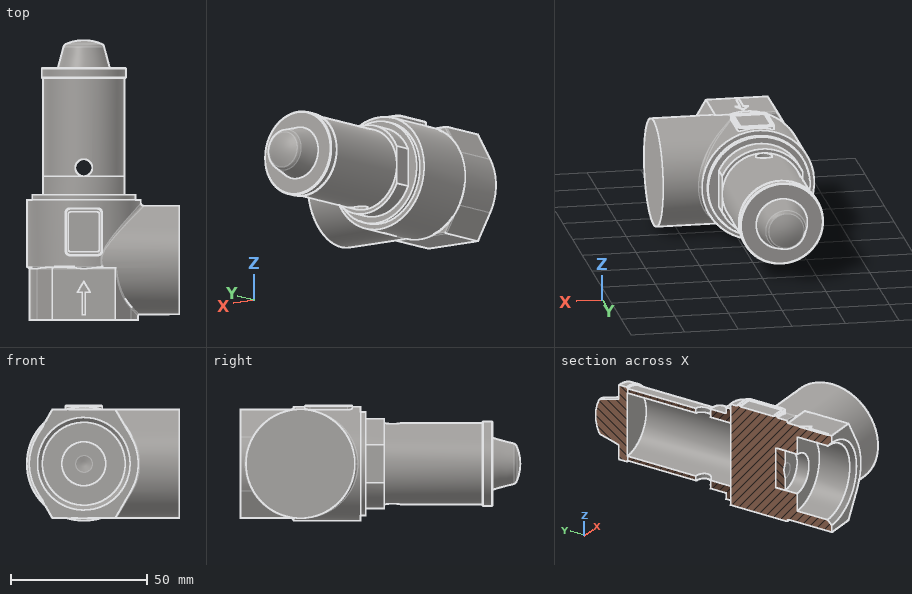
import cadquery as cq
import math


flat_half = 19.99
body_radius = 21.0
body_end = 44.1
neck_start = 18.8
neck_arc = (body_radius - flat_half) / 2
body_start = neck_start + 2 * neck_arc
outlet_radius = flat_half
outlet_height = 22.0
outlet_end = 35.1
body_outlet_fillet = 1.0
hex_outlet_fillet = 0.4

thread_radius = 15.2
thread_depth = 15.0
thread_chamfer = 1.8
seat_radius = 8.07
seat_depth = 5.1

plate_width = 13.6
plate_length = 17.5
plate_corner = 1.9
plate_top = 21.5
plate_center = 32.4
plate_chamfer = 0.3
plate_side_border = 1.0
plate_end_border = 1.4
plate_recess = 0.4

arrow_tail = 2.0
arrow_head = 10.2
arrow_tip = 14.2
arrow_shaft_half = 0.6
arrow_head_half = 2.4
arrow_depth = 0.2

disc_thickness = 4.1
disc_dimple_radius = 3.1
disc_dimple_depth = 0.6

flange_radius = 19.0
flange_thickness = 2.0
wrench_radius = 16.5
wrench_end = 52.8
sleeve_radius = 15.0
sleeve_end = 88.8
sleeve_bore_radius = 13.0
vent_radius = 3.1
vent_center = wrench_end + vent_radius

collar_radius = 15.5
collar_end = 92.6
collar_chamfer = 0.3
cone_base_radius = 9.6
cone_top_radius = 7.3
cone_end = 101.1
dome_end = 102.8
dome_fillet = 1.6
rim_margin = 0.1


def cylinder_y(radius, start, end):
    """Cylinder around the Y axis."""
    return cq.Workplane("XZ", origin=(0, start, 0)).circle(radius).extrude(start - end)


def hex_outline():
    """Hexagon with flats at top and bottom, its left and right corners replaced by tangent arcs."""
    corner_x = flat_half * math.tan(math.radians(30))
    tangent_x = flat_half * math.cos(math.radians(30))
    tangent_z = flat_half * math.sin(math.radians(30))
    return (
        cq.Workplane("XZ")
        .moveTo(-corner_x, flat_half)
        .lineTo(corner_x, flat_half)
        .lineTo(tangent_x, tangent_z)
        .threePointArc((flat_half, 0), (tangent_x, -tangent_z))
        .lineTo(corner_x, -flat_half)
        .lineTo(-corner_x, -flat_half)
        .lineTo(-tangent_x, -tangent_z)
        .threePointArc((-flat_half, 0), (-tangent_x, tangent_z))
        .close()
    )


def make_plate():
    """Rounded plate that rises just above the barrel."""
    base = body_radius / 2
    return (
        cq.Workplane("XY", origin=(0, plate_center, base))
        .rect(plate_width, plate_length)
        .extrude(plate_top - base)
        .edges("|Z")
        .fillet(plate_corner)
        .faces(">Z")
        .chamfer(plate_chamfer)
    )


def make_plate_recess():
    """Shallow pocket inside the border of the plate."""
    return (
        cq.Workplane("XY", origin=(0, plate_center, plate_top - plate_recess))
        .rect(plate_width - 2 * plate_side_border, plate_length - 2 * plate_end_border)
        .extrude(2 * plate_recess)
        .edges("|Z")
        .fillet(plate_corner - plate_side_border)
    )


def make_arrow():
    """Arrow engraved in the upper hexagon flat, pointing along the flow."""
    return (
        cq.Workplane("XY", origin=(0, 0, flat_half - arrow_depth))
        .polyline([
            (-arrow_shaft_half, arrow_tail),
            (arrow_shaft_half, arrow_tail),
            (arrow_shaft_half, arrow_head),
            (arrow_head_half, arrow_head),
            (0, arrow_tip),
            (-arrow_head_half, arrow_head),
            (-arrow_shaft_half, arrow_head),
        ])
        .close()
        .extrude(2 * arrow_depth)
    )


def make_outlet():
    return cq.Workplane("YZ").center(outlet_height, 0).circle(outlet_radius).extrude(outlet_end)


def make_body():
    """Main barrel blended into the outlet."""
    body = cylinder_y(body_radius, body_start, body_end).union(make_outlet())
    joint = body.edges("%BSPLINE").vals()
    return body.newObject([body.val().fillet(body_outlet_fillet, joint)])


def make_neck():
    """Ring that leads from the rounded hexagon sides to the barrel in an S-curve."""
    middle = neck_start + neck_arc
    along = neck_arc * math.sin(math.radians(45))
    aside = neck_arc * (1 - math.cos(math.radians(45)))
    return (
        cq.Workplane("XY")
        .moveTo(0, neck_start)
        .lineTo(flat_half, neck_start)
        .threePointArc((flat_half + aside, neck_start + along), (flat_half + neck_arc, middle))
        .threePointArc((flat_half + neck_arc + along, middle + aside), (body_radius, body_start))
        .lineTo(0, body_start)
        .close()
        .revolve(360, (0, 0, 0), (0, 1, 0))
    )


def make_hexagon():
    """Inlet hexagon blended into the outlet, with a rounded end that runs into the neck."""
    hexagon = hex_outline().extrude(-neck_start - neck_arc).faces(">Y").edges().fillet(neck_arc)
    hexagon = hexagon.union(make_outlet())
    near_inlet = cq.selectors.BoxSelector((0, 0, -flat_half), (outlet_end, neck_start, flat_half))
    joint = hexagon.edges("%ELLIPSE").edges(near_inlet).vals()
    return hexagon.newObject([hexagon.val().fillet(hex_outlet_fillet, joint)])


def make_inlet():
    """Chamfered thread bore with the seat bore behind it."""
    bore = cylinder_y(thread_radius, 0, thread_depth)
    seat = cylinder_y(seat_radius, thread_depth, thread_depth + seat_depth + disc_thickness)
    mouth = cq.Workplane("XZ").circle(thread_radius + thread_chamfer).workplane(offset=-thread_chamfer)
    mouth = mouth.circle(thread_radius).loft()
    return bore.union(seat).union(mouth)


def make_housing():
    shell = make_hexagon().union(make_neck()).union(make_body()).union(make_plate())
    return shell.cut(make_plate_recess()).cut(make_arrow()).cut(make_inlet())


def make_disc():
    """Valve disc closing the seat, with a conical dimple in its inlet side."""
    face = thread_depth + seat_depth
    back = face + disc_thickness
    return (
        cq.Workplane("XY")
        .polyline([
            (0, face + disc_dimple_depth),
            (disc_dimple_radius, face),
            (seat_radius, face),
            (seat_radius, back),
            (0, back),
        ])
        .close()
        .revolve(360, (0, 0, 0), (0, 1, 0))
    )


def make_bonnet():
    """Vented spring sleeve with two wrench flats and a flange, hollow along its whole length."""
    flange_end = body_end + flange_thickness
    flange = cylinder_y(flange_radius, body_end, flange_end)
    wrench_length = wrench_end - flange_end
    flats = cq.Workplane("XY").box(2 * sleeve_radius, wrench_length, 2 * wrench_radius)
    flats = flats.translate((0, flange_end + wrench_length / 2, 0))
    wrench = cylinder_y(wrench_radius, flange_end, wrench_end).intersect(flats)
    sleeve = cylinder_y(sleeve_radius, wrench_end, sleeve_end)
    vent = cq.Workplane("XY").center(0, vent_center).circle(vent_radius).extrude(wrench_radius, both=True)
    bore = cylinder_y(sleeve_bore_radius, body_end, sleeve_end)
    return flange.union(wrench).union(sleeve).cut(bore).cut(vent)


def make_cap():
    """Collar with a conical knob and a domed, rounded top."""
    collar = cylinder_y(collar_radius, sleeve_end, collar_end).edges().chamfer(collar_chamfer)
    dome_radius = (cone_top_radius**2 + (dome_end - cone_end) ** 2) / (2 * (dome_end - cone_end))
    mid_radius = cone_top_radius / 2
    mid_height = dome_end - dome_radius + math.sqrt(dome_radius**2 - mid_radius**2)
    knob = (
        cq.Workplane("XY")
        .moveTo(0, collar_end)
        .lineTo(cone_base_radius, collar_end)
        .lineTo(cone_top_radius, cone_end)
        .threePointArc((mid_radius, mid_height), (0, dome_end))
        .close()
        .revolve(360, (0, 0, 0), (0, 1, 0))
    )
    rim = cq.selectors.BoxSelector(
        (-cone_top_radius, cone_end - rim_margin, -cone_top_radius),
        (cone_top_radius, cone_end + rim_margin, cone_top_radius),
    )
    return collar.union(knob.edges(rim).fillet(dome_fillet))


housing = make_housing()
disc = make_disc()
bonnet = make_bonnet()
cap = make_cap()
result = cq.Compound.makeCompound([housing.val(), disc.val(), bonnet.val(), cap.val()])